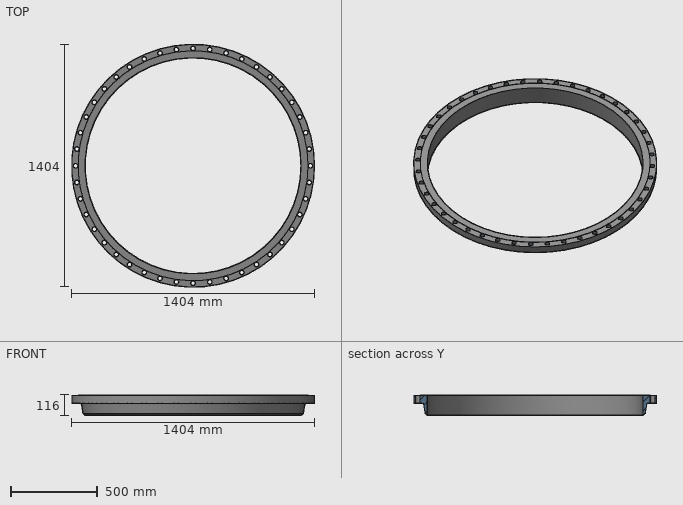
import cadquery as cq

outer_radius = 702.0
bore_diameter = 1245.0
bore_radius = bore_diameter / 2
total_height = 116.0

flange_thickness = 48.0
face_radius = 664.0
face_height = 1.0

fillet_size = 8.0
hub_top_radius = 645.0
hub_bottom_radius = 637.0
weld_bevel_height = 10.0
weld_root_radius = 625.0

bolt_count = 44
bolt_circle_radius = 678.0
bolt_hole_diameter = 25.0

flange_top = total_height - face_height
flange_bottom = total_height - flange_thickness


def make_ring():
    """Revolve the cross-section of the flange and hub about Z."""
    profile = (
        cq.Workplane("XZ")
        .moveTo(bore_radius, 0)
        .lineTo(weld_root_radius, 0)
        .lineTo(hub_bottom_radius, weld_bevel_height)
        .lineTo(hub_top_radius, flange_bottom - fillet_size)
        .radiusArc((hub_top_radius + fillet_size, flange_bottom), fillet_size)
        .lineTo(outer_radius, flange_bottom)
        .lineTo(outer_radius, flange_top)
        .lineTo(face_radius, flange_top)
        .lineTo(face_radius, total_height)
        .lineTo(bore_radius, total_height)
        .close()
    )
    return profile.revolve(360, (0, 0, 0), (0, 1, 0))


def make_bolt_holes():
    """Through cutters evenly spaced on the bolt circle, the first on +X."""
    return (
        cq.Workplane("XY")
        .polarArray(bolt_circle_radius, 0, 360, bolt_count)
        .circle(bolt_hole_diameter / 2)
        .extrude(total_height)
    )


result = make_ring().cut(make_bolt_holes())